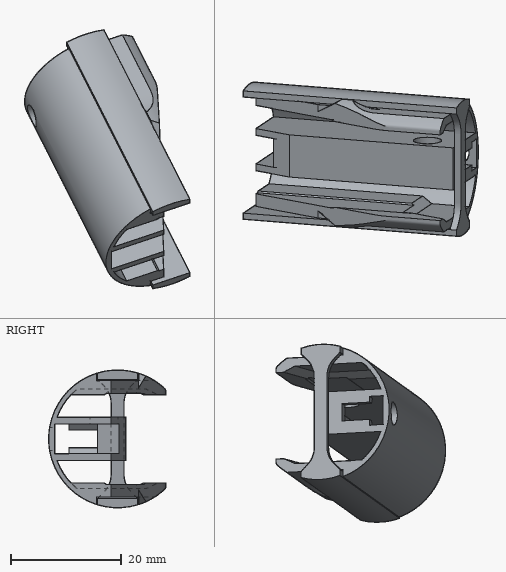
import cadquery as cq
import math

LENGTH = 41.05
OUTER_RADIUS = 12.54

PLATE_THICKNESS = 1.27
WEB_HALF_WIDTH = 1.2
RAIL_HALF_WIDTH = 3.65
RAIL_BOTTOM = 10.85
FLARE_RADIUS = 4.5
FLARE_ANGLE = math.radians(45)

HOUSING_FRONT = 1.4
HOUSING_BACK = 40.25
INNER_RADIUS = 11.65
CEILING = 8.0
ARM_REACH = 8.8
ARM_EDGE_RADIUS = 0.82

SLOT_HALF_WIDTH = 3.8
SLOT_FLOOR = 10.6
FLAT_END = 14.75
RAMP_RADIUS = 10.67

TAPER_ANGLE = math.radians(20)
TAPER_START = 12.95
TAPER_BLEND_RADIUS = 9.45
TIP_SLOPE = math.radians(30)
TIP_START = 21.95

RECESS_DEPTH = 1.03
RECESS_LENGTH = 7.2
RECESS_TOP_Y = 5.2
RECESS_WALL_RUN = 2.15
TROUGH_DEPTH = 0.25
TROUGH_TOP_Y = 4.8
TROUGH_BOTTOM_Y = -2.05
TROUGH_WALL_RUN = 0.35

BOX_HALF_HEIGHT = 3.95
BOX_BACK_Y = 1.5
BOX_WALL = 1.27
NECK_DEPTH = 1.27
CAVITY_START = 3.45
NECK_HALF_HEIGHT = 1.6
NECK_Y = -3.65
HEAD_HALF_HEIGHT = 2.65
HEAD_INNER_Y = -8.85
HEAD_OUTER_Y = -11.4

SIDE_HOLE_DIAMETER = 4.2
SIDE_HOLE_X = 4.93
BOX_HOLE_DIAMETER = 5.15
BOX_HOLE_X = 7.7
BOX_HOLE_Y = -2.45

CUT_MARGIN = 4.1


def block(x_range, y_range, z_range):
    """Axis-aligned box given by its lower and upper limits."""
    (x0, x1), (y0, y1), (z0, z1) = x_range, y_range, z_range
    return cq.Workplane("XY").box(x1 - x0, y1 - y0, z1 - z0, centered=False).translate((x0, y0, z0))


def barrel(radius, start, end):
    """Cylinder about the X axis."""
    return cq.Workplane("YZ").workplane(offset=start).circle(radius).extrude(end - start)


def both_arms(upper):
    """The upper shape together with its mirror image below Z = 0."""
    return upper.union(upper.mirror("XY"))


def make_rail():
    rail = block((0, LENGTH), (-RAIL_HALF_WIDTH, RAIL_HALF_WIDTH), (RAIL_BOTTOM, OUTER_RADIUS))
    return rail.intersect(barrel(OUTER_RADIUS, 0, LENGTH))


def make_plate_half():
    """Upper half of the I-shaped plate: web, curved flare and 45-degree flank."""
    flare_end_y = WEB_HALF_WIDTH + FLARE_RADIUS * (1 - math.cos(FLARE_ANGLE))
    flare_end_z = RAIL_BOTTOM - (RAIL_HALF_WIDTH - flare_end_y)
    flare_start_z = flare_end_z - FLARE_RADIUS * math.sin(FLARE_ANGLE)
    half_angle = FLARE_ANGLE / 2
    flare_mid_y = WEB_HALF_WIDTH + FLARE_RADIUS * (1 - math.cos(half_angle))
    flare_mid_z = flare_start_z + FLARE_RADIUS * math.sin(half_angle)
    return (
        cq.Workplane("YZ")
        .moveTo(-WEB_HALF_WIDTH, 0)
        .lineTo(WEB_HALF_WIDTH, 0)
        .lineTo(WEB_HALF_WIDTH, flare_start_z)
        .threePointArc((flare_mid_y, flare_mid_z), (flare_end_y, flare_end_z))
        .lineTo(RAIL_HALF_WIDTH, RAIL_BOTTOM)
        .lineTo(-RAIL_HALF_WIDTH, RAIL_BOTTOM)
        .lineTo(-flare_end_y, flare_end_z)
        .threePointArc((-flare_mid_y, flare_mid_z), (-WEB_HALF_WIDTH, flare_start_z))
        .close()
        .extrude(PLATE_THICKNESS)
    )


def make_clip():
    return both_arms(make_plate_half().union(make_rail()))


def make_shell():
    """Barrel cut off at the arm tips and hollowed between two flat ceilings."""
    length_range = (HOUSING_FRONT, HOUSING_BACK)
    reach = block(length_range, (-OUTER_RADIUS, ARM_REACH), (-OUTER_RADIUS, OUTER_RADIUS))
    outer = barrel(OUTER_RADIUS, HOUSING_FRONT, HOUSING_BACK).intersect(reach)
    outer = outer.faces(">Y").edges("|X").fillet(ARM_EDGE_RADIUS)
    hollow = block(length_range, (-OUTER_RADIUS, 0), (-CEILING, CEILING))
    hollow = hollow.intersect(barrel(INNER_RADIUS, HOUSING_FRONT, HOUSING_BACK))
    opening = block(length_range, (0, OUTER_RADIUS), (-CEILING, CEILING))
    return outer.cut(hollow).cut(opening)


def make_recess():
    """Narrowing pocket with sloped walls, followed by a shallow trough."""
    recess_end = HOUSING_FRONT + RECESS_LENGTH

    def narrowing_at(spread):
        return (RECESS_LENGTH + spread) * math.tan(TAPER_ANGLE)

    def outline(spread):
        return [
            (HOUSING_FRONT, -OUTER_RADIUS),
            (recess_end + spread, -OUTER_RADIUS),
            (recess_end + spread, RECESS_TOP_Y + spread - narrowing_at(spread)),
            (HOUSING_FRONT, RECESS_TOP_Y + spread),
        ]

    pocket = (
        cq.Workplane("XY", origin=(0, 0, CEILING))
        .polyline(outline(RECESS_WALL_RUN)).close()
        .workplane(offset=RECESS_DEPTH)
        .polyline(outline(0)).close()
        .loft(ruled=True)
    )
    trough = (
        cq.Workplane("YZ", origin=(recess_end, 0, 0))
        .polyline([
            (TROUGH_BOTTOM_Y - TROUGH_WALL_RUN, CEILING),
            (TROUGH_BOTTOM_Y, CEILING + TROUGH_DEPTH),
            (TROUGH_TOP_Y, CEILING + TROUGH_DEPTH),
            (TROUGH_TOP_Y + TROUGH_WALL_RUN, CEILING),
        ])
        .close()
        .extrude(HOUSING_BACK - recess_end)
    )
    inside = barrel(INNER_RADIUS, HOUSING_FRONT, HOUSING_BACK)
    return both_arms(pocket.intersect(inside).union(trough))


def make_slots():
    """Rail slots, thumb flats with their concave run-out ramps, and sloped tips."""
    top = OUTER_RADIUS + CUT_MARGIN
    slot = block(
        (HOUSING_FRONT, HOUSING_BACK), (-SLOT_HALF_WIDTH, SLOT_HALF_WIDTH), (SLOT_FLOOR, top)
    )
    ramp_rise = OUTER_RADIUS - SLOT_FLOOR
    ramp_run = math.sqrt(RAMP_RADIUS**2 - (RAMP_RADIUS - ramp_rise) ** 2)
    ramp_mid_rise = RAMP_RADIUS - math.sqrt(RAMP_RADIUS**2 - (ramp_run / 2) ** 2)
    thumb_flat = (
        cq.Workplane("XZ", origin=(0, SLOT_HALF_WIDTH, 0))
        .moveTo(HOUSING_FRONT, SLOT_FLOOR)
        .lineTo(FLAT_END, SLOT_FLOOR)
        .threePointArc(
            (FLAT_END + ramp_run / 2, SLOT_FLOOR + ramp_mid_rise), (FLAT_END + ramp_run, OUTER_RADIUS)
        )
        .lineTo(HOUSING_FRONT, OUTER_RADIUS)
        .close()
        .extrude(-ARM_REACH)
    )
    tip_height = math.sqrt(OUTER_RADIUS**2 - SLOT_HALF_WIDTH**2)
    tip_run = (tip_height - CEILING) / math.tan(TIP_SLOPE)
    tip = (
        cq.Workplane("XZ", origin=(0, SLOT_HALF_WIDTH, 0))
        .polyline([
            (TIP_START, tip_height),
            (TIP_START + tip_run, CEILING),
            (HOUSING_BACK, CEILING),
            (HOUSING_BACK, tip_height),
        ])
        .close()
        .extrude(-ARM_REACH)
    )
    return both_arms(slot.union(thumb_flat).union(tip))


def make_taper():
    """Material beyond the slanted arm ends, blended into the straight arm tips."""
    tangent = TAPER_BLEND_RADIUS * math.tan(TAPER_ANGLE / 2)
    half_angle = TAPER_ANGLE / 2
    end = HOUSING_BACK + CUT_MARGIN
    blend_start = TAPER_START - tangent
    blend_end = (
        TAPER_START + tangent * math.cos(TAPER_ANGLE),
        ARM_REACH - tangent * math.sin(TAPER_ANGLE),
    )
    blend_mid = (
        blend_start + TAPER_BLEND_RADIUS * math.sin(half_angle),
        ARM_REACH - TAPER_BLEND_RADIUS * (1 - math.cos(half_angle)),
    )
    return (
        cq.Workplane("XY")
        .moveTo(blend_start, ARM_REACH)
        .threePointArc(blend_mid, blend_end)
        .lineTo(end, ARM_REACH - (end - TAPER_START) * math.tan(TAPER_ANGLE))
        .lineTo(end, ARM_REACH)
        .close()
        .extrude(OUTER_RADIUS, both=True)
    )


def make_center_box():
    solid = block(
        (HOUSING_FRONT, HOUSING_BACK), (-OUTER_RADIUS, BOX_BACK_Y), (-BOX_HALF_HEIGHT, BOX_HALF_HEIGHT)
    )
    return solid.intersect(barrel(OUTER_RADIUS, HOUSING_FRONT, HOUSING_BACK))


def make_box_cavity():
    """T-shaped mouth through the front wall, flaring into a cavity open at the back."""
    neck_end = HOUSING_FRONT + NECK_DEPTH
    head_heights = (-HEAD_HALF_HEIGHT, HEAD_HALF_HEIGHT)
    neck = block(
        (HOUSING_FRONT, neck_end), (HEAD_INNER_Y, NECK_Y), (-NECK_HALF_HEIGHT, NECK_HALF_HEIGHT)
    )
    head = block((HOUSING_FRONT, CAVITY_START), (HEAD_OUTER_Y, HEAD_INNER_Y), head_heights)
    flare = (
        cq.Workplane("XZ", origin=(0, NECK_Y, 0))
        .polyline([
            (neck_end, NECK_HALF_HEIGHT),
            (CAVITY_START, HEAD_HALF_HEIGHT),
            (CAVITY_START, -HEAD_HALF_HEIGHT),
            (neck_end, -NECK_HALF_HEIGHT),
        ])
        .close()
        .extrude(NECK_Y - HEAD_INNER_Y)
    )
    cavity = block(
        (CAVITY_START, HOUSING_BACK), (HEAD_OUTER_Y, BOX_BACK_Y - BOX_WALL), head_heights
    )
    return neck.union(head).union(flare).union(cavity)


def make_holes():
    """Hole through the outer wall and a hole through the top of the box."""
    side_hole = (
        cq.Workplane("XZ", origin=(SIDE_HOLE_X, NECK_Y, 0))
        .circle(SIDE_HOLE_DIAMETER / 2)
        .extrude(OUTER_RADIUS)
    )
    box_hole = (
        cq.Workplane("XY", origin=(BOX_HOLE_X, BOX_HOLE_Y, 0))
        .circle(BOX_HOLE_DIAMETER / 2)
        .extrude(BOX_HALF_HEIGHT)
    )
    return side_hole.union(box_hole)


def make_housing():
    housing = make_shell().cut(make_recess()).union(make_center_box())
    for cutter in (make_slots(), make_taper(), make_box_cavity(), make_holes()):
        housing = housing.cut(cutter)
    return housing


clip = make_clip()
housing = make_housing()
result = cq.Compound.makeCompound([clip.val(), housing.val()])